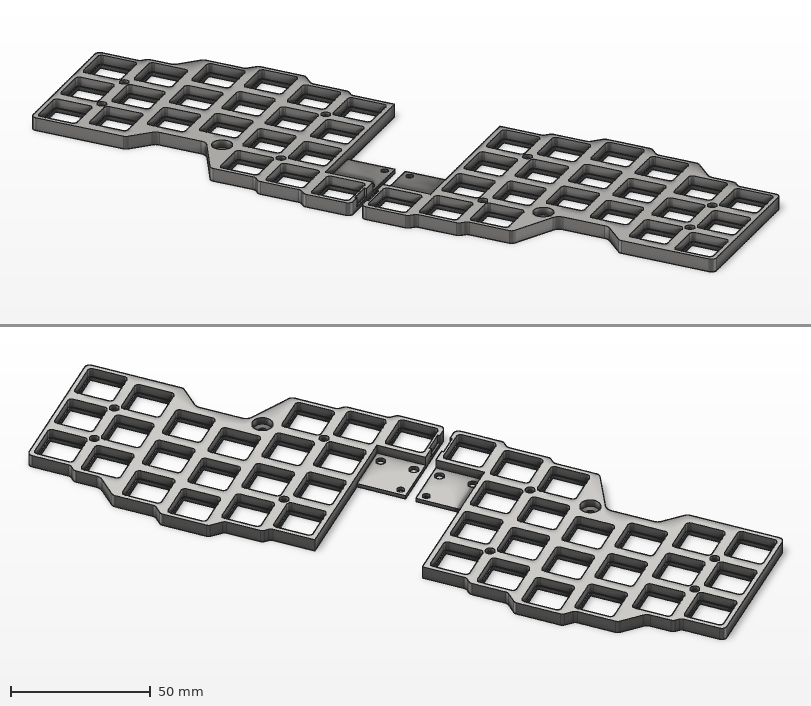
import cadquery as cq


overall_width = 269.5
overall_depth = 84.6
thickness = 5.0
lip_thickness = 1.5

pitch = 57.1 / 3
cell_gap = 0.5
cell = pitch - cell_gap
key_opening = 15.0
key_lip_opening = 14.0
key_corner_radius = 1.5
key_lip_corner_radius = 0.5
outline_radius = 2.0
hollow_radius = 3.5
stagger = 2.3

half_cell = cell / 2
outer_edge = overall_width / 2
back_edge = overall_depth / 2
front_edge = -back_edge


def column_x(index):
    """X of a key column on the right half; column 0 is outermost, column 6 is the thumb key."""
    return outer_edge - half_cell - index * pitch


ring_shift = 3.5
outer_y = 0.22
pinky_y = outer_y + stagger
middle_y = back_edge - half_cell - pitch
ring_y = middle_y - ring_shift
thumb_y = front_edge + half_cell
inner_y = thumb_y + stagger + 2 * pitch
index_y = inner_y + stagger

row_counts = [3, 3, 3, 3, 4, 4]
second_key_y = [outer_y, pinky_y, ring_y, middle_y, index_y, inner_y]

back_reach = pitch + half_cell
outer_front_y = outer_y - pitch - half_cell
recess_y = -20.0
recess_outer_x = 89.2
recess_inner_x = 69.3
index_front_outer_x = 59.5
ring_back_corner_x = 97.5

tray_outer_x = column_x(6) + pitch / 2
inner_edge = column_x(6) - half_cell
tray_front_y = thumb_y + pitch / 2
tray_back_y = tray_front_y + pitch
tray_hole_inset_x = 3.0
tray_hole_inset_y = 3.8
tray_pin_hole_diameter = 2.7
tray_pin_hole_inset = 2.7
tray_screw_hole_diameter = 3.5

insert_diameter = 3.5
insert_depth = 3.5
insert_pilot_diameter = 2.2
insert_pilot_depth = 0.8
screw_x = 63.3
screw_y = -19.5
screw_diameter = 3.0
screw_head_diameter = 7.5
screw_head_depth = 3.0

notch_length = 8.0
notch_depth = 0.8

selection_margin = 0.3


def key_centres():
    centres = [(column_x(6), thumb_y)]
    for column, count in enumerate(row_counts):
        for row in range(count):
            centres.append((column_x(column), second_key_y[column] + (1 - row) * pitch))
    return centres


def step(column_edge_x, high_y, low_y, direction):
    """The two corners of a 45 degree step that starts at the edge of the longer column."""
    run = direction * abs(high_y - low_y)
    return [(column_edge_x, high_y), (column_edge_x + run, low_y)]


def outline_points():
    def back(column):
        return second_key_y[column] + back_reach

    def front(column):
        return second_key_y[column] - 2 * pitch - half_cell

    def outer_side(column):
        return column_x(column) + half_cell

    def inner_side(column):
        return column_x(column) - half_cell

    points = [(outer_edge, outer_front_y), (outer_edge, back(0))]
    points += reversed(step(outer_side(1), back(1), back(0), 1))
    points += reversed(step(ring_back_corner_x, back(2), back(1), 1))
    points += reversed(step(outer_side(3), back(3), back(2), 1))
    for column in (3, 4):
        points += step(inner_side(column), back(column), back(column + 1), -1)
    points += [(tray_outer_x, back(5)), (tray_outer_x, tray_front_y), (inner_edge, tray_front_y)]
    points.append((inner_edge, front_edge))
    points += step(outer_side(6), front_edge, front(5), 1)
    points += step(outer_side(5), front(5), front(4), 1)
    points += [(index_front_outer_x, front(4)), (recess_inner_x, recess_y), (recess_outer_x, recess_y)]
    points.append((recess_outer_x + recess_y - outer_front_y, outer_front_y))
    return points


def square_holes(size, corner_radius, base):
    return (
        cq.Workplane("XY", origin=(0, 0, base))
        .pushPoints(key_centres())
        .rect(size, size)
        .extrude(thickness)
        .edges("|Z")
        .fillet(corner_radius)
    )


def round_hole(centre, diameter, base):
    return cq.Workplane("XY", origin=(*centre, base)).circle(diameter / 2).extrude(thickness)


def corner_at(point):
    """Selects the upright edge at an outline point."""
    x, y = point
    low = (x - selection_margin, y - selection_margin, 0)
    high = (x + selection_margin, y + selection_margin, thickness)
    return cq.selectors.BoxSelector(low, high)


def plate_blank():
    """Full-height plate; only the corners beside the tray stay sharp."""
    ring_back_hollow = step(ring_back_corner_x, ring_y + back_reach, pinky_y + back_reach, 1)[1]
    hollow_corners = (
        corner_at((recess_outer_x, recess_y))
        + corner_at((recess_inner_x, recess_y))
        + corner_at(ring_back_hollow)
    )
    tray_corners = (
        corner_at((tray_outer_x, inner_y + back_reach))
        + corner_at((tray_outer_x, tray_front_y))
        + corner_at((inner_edge, tray_front_y))
    )
    small_corners = cq.selectors.ParallelDirSelector(cq.Vector(0, 0, 1)) - tray_corners - hollow_corners
    blank = cq.Workplane("XY").polyline(outline_points()).close().extrude(thickness)
    blank = blank.edges(hollow_corners).fillet(hollow_radius)
    return blank.edges(small_corners).fillet(outline_radius)


def cut_keys(plate):
    plate = plate.cut(square_holes(key_lip_opening, key_lip_corner_radius, 0))
    return plate.cut(square_holes(key_opening, key_corner_radius, lip_thickness))


def add_tray(plate):
    width = tray_outer_x - inner_edge
    tray = cq.Workplane("XY").box(width, pitch, lip_thickness, centered=False)
    plate = plate.union(tray.translate((inner_edge, tray_front_y, 0)))
    near_x = inner_edge + tray_hole_inset_x
    far_x = tray_outer_x - tray_hole_inset_x
    front_y = tray_front_y + tray_hole_inset_y
    for x in (near_x, far_x):
        plate = plate.cut(round_hole((x, front_y), tray_screw_hole_diameter, 0))
    return plate.cut(round_hole((near_x, tray_back_y - tray_pin_hole_inset), tray_pin_hole_diameter, 0))


def cut_inserts(plate):
    """Blind stepped holes in the web between four keys."""
    outer_web_y = (outer_y + pinky_y + pitch) / 2
    inner_web_y = (index_y + inner_y + pitch) / 2
    outer_web_x = (column_x(0) + column_x(1)) / 2
    inner_web_x = (column_x(4) + column_x(5)) / 2
    centres = [(outer_web_x, outer_web_y), (outer_web_x, outer_web_y - pitch)]
    centres += [(inner_web_x, inner_web_y), (inner_web_x, inner_web_y - 2 * pitch)]
    for centre in centres:
        plate = plate.cut(round_hole(centre, insert_diameter, thickness - insert_depth))
        plate = plate.cut(round_hole(centre, insert_pilot_diameter, thickness - insert_depth - insert_pilot_depth))
    return plate


def cut_screw_hole(plate):
    plate = plate.cut(round_hole((screw_x, screw_y), screw_diameter, 0))
    return plate.cut(round_hole((screw_x, screw_y), screw_head_diameter, thickness - screw_head_depth))


def cut_notch(plate):
    notch = cq.Workplane("XY").box(notch_depth, notch_length, thickness, centered=(False, True, False))
    return plate.cut(notch.translate((inner_edge, thumb_y, lip_thickness)))


def right_half():
    plate = cut_keys(plate_blank())
    plate = add_tray(plate)
    plate = cut_inserts(plate)
    plate = cut_screw_hole(plate)
    return cut_notch(plate)


right_plate = right_half()
left_plate = right_plate.mirror("YZ")

result = cq.Compound.makeCompound([left_plate.val(), right_plate.val()])